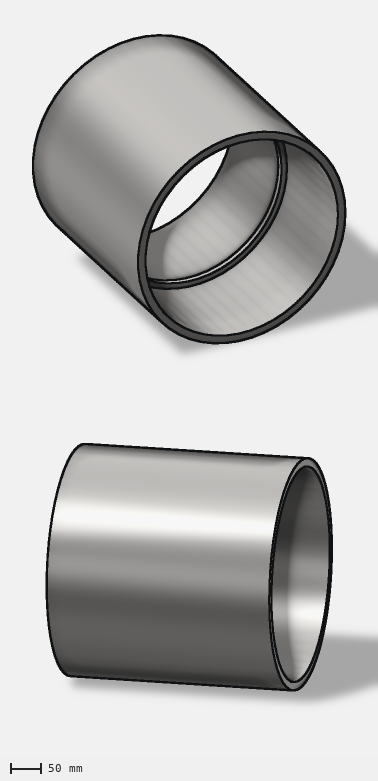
import cadquery as cq

length = 380.0
outer_diameter = 383.0
socket_diameter = 355.0
stop_diameter = 335.0
stop_width = 12.0

socket_depth = (length - stop_width) / 2


def socket(start_x):
    """Cylindrical socket bore running in +X from start_x."""
    return cq.Workplane("YZ", origin=(start_x, 0, 0)).circle(socket_diameter / 2).extrude(socket_depth)


sleeve = (
    cq.Workplane("YZ", origin=(-length / 2, 0, 0))
    .circle(outer_diameter / 2)
    .circle(stop_diameter / 2)
    .extrude(length)
)

result = sleeve
for socket_start in (-length / 2, stop_width / 2):
    result = result.cut(socket(socket_start))